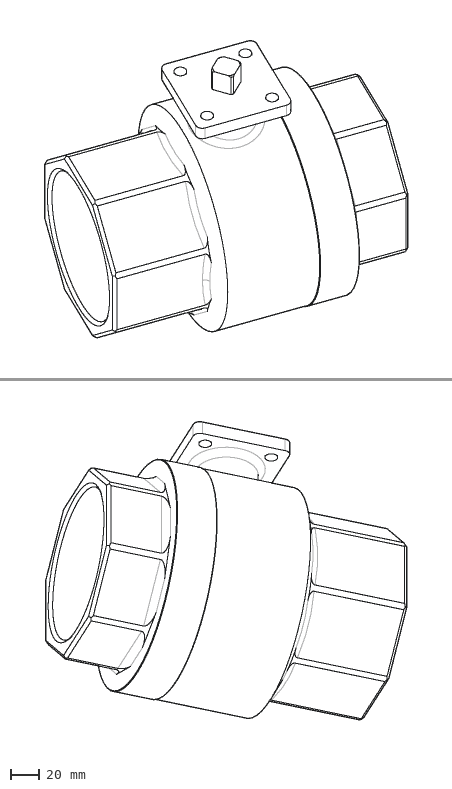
import cadquery as cq
import math

length = 225.0
body_dia = 166.0
body_front_y = -33.0
cone_end_dia = 126.0
cone_length = 9.7

flange_dia = 167.0
flange_front_y = 37.0
flange_rear_y = 67.3
flange_chamfer = (flange_dia - body_dia) / 2

octagon_sides = 8
octagon_width = 130.0
octagon_end_chamfer = 2.5
octagon_corner_trim = 2.5
octagon_root_fillet = 5.0

bore_dia = 100.0
socket_dia = 110.07
socket_depth = 40.0
socket_entry_dia = 115.0

neck_dia = 45.0
neck_top_fillet = 5.0
neck_root_fillet = 5.0
plate_size = 72.0
plate_corner_radius = 5.0
plate_thickness = 10.0
plate_top_z = 116.5
hole_dia = 9.0
hole_circle_dia = 70.0
stem_square = 17.0
stem_turn_deg = 45.0
stem_corner_dia = 22.0
stem_top_z = 134.0
stem_top_chamfer = 1.0

selection_margin = 1.0

end_y = length / 2
plate_bottom_z = plate_top_z - plate_thickness
half_sector_deg = 180.0 / octagon_sides
half_sector = math.radians(half_sector_deg)
octagon_corner_radius = octagon_width / 2 / math.cos(half_sector)
trimmed_apothem = octagon_corner_radius - octagon_corner_trim * math.sin(half_sector)


def disc(dia, start_y, stop_y):
    """Cylinder on the Y axis between two Y stations."""
    return cq.Workplane("XZ", origin=(0, start_y, 0)).circle(dia / 2).extrude(start_y - stop_y)


def octagon(apothem, turn_deg, start_y, stop_y):
    """Octagonal prism on the Y axis; zero turn puts flats at top, bottom and sides."""
    return (
        cq.Workplane("XZ", origin=(0, start_y, 0))
        .transformed(rotate=(0, 0, turn_deg + half_sector_deg))
        .polygon(octagon_sides, 2 * apothem / math.cos(half_sector))
        .extrude(start_y - stop_y)
    )


def make_shell():
    """Body cylinder with its front cone, and the flange ring."""
    body = disc(body_dia, body_front_y, flange_front_y)
    cone = (
        cq.Workplane("XY")
        .moveTo(0, body_front_y)
        .lineTo(body_dia / 2, body_front_y)
        .lineTo(cone_end_dia / 2, body_front_y - cone_length)
        .lineTo(0, body_front_y - cone_length)
        .close()
        .revolve(360, (0, 0, 0), (0, 1, 0))
    )
    flange = disc(flange_dia, flange_front_y, flange_rear_y).edges().chamfer(flange_chamfer)
    return body.union(cone).union(flange)


def add_octagons(shell):
    """Chamfered octagon through the shell, filleted at both roots, with trimmed corners."""
    bar = octagon(octagon_width / 2, 0, -end_y, end_y).faces("<Y or >Y").chamfer(octagon_end_chamfer)
    joined = shell.union(bar)
    reach = octagon_corner_radius + selection_margin
    root_edges = cq.selectors.BoxSelector(
        (-reach, body_front_y - cone_length, -reach),
        (reach, flange_rear_y + selection_margin, reach),
        boundingbox=True,
    )
    filleted = joined.edges(root_edges).fillet(octagon_root_fillet)
    trim = octagon(trimmed_apothem, half_sector_deg, -end_y, end_y).union(shell)
    return filleted.intersect(trim)


def add_neck(housing):
    """Round neck on top of the body with a fillet where it meets the body."""
    neck = cq.Workplane("XY").circle(neck_dia / 2).extrude(plate_bottom_z)
    joined = housing.union(neck)
    neck_radius = neck_dia / 2
    body_radius = body_dia / 2
    lowest_z = math.sqrt(body_radius**2 - neck_radius**2)
    reach = neck_radius + selection_margin
    root_edges = cq.selectors.BoxSelector(
        (-reach, -reach, lowest_z - selection_margin),
        (reach, reach, body_radius + selection_margin),
        boundingbox=True,
    )
    return joined.edges(root_edges).fillet(neck_root_fillet)


def make_plate():
    """Mounting plate with the flared top of the neck and four holes."""
    flare = (
        cq.Workplane("XZ")
        .moveTo(0, plate_bottom_z)
        .lineTo(neck_dia / 2 + neck_top_fillet, plate_bottom_z)
        .radiusArc((neck_dia / 2, plate_bottom_z - neck_top_fillet), -neck_top_fillet)
        .lineTo(0, plate_bottom_z - neck_top_fillet)
        .close()
        .revolve(360, (0, 0, 0), (0, 1, 0))
    )
    hole_pitch = hole_circle_dia / math.sqrt(2)
    plate = (
        cq.Workplane("XY", origin=(0, 0, plate_bottom_z))
        .rect(plate_size, plate_size)
        .extrude(plate_thickness)
        .edges("|Z")
        .fillet(plate_corner_radius)
        .union(flare)
    )
    holes = (
        cq.Workplane("XY", origin=(0, 0, plate_bottom_z - neck_top_fillet))
        .rect(hole_pitch, hole_pitch, forConstruction=True)
        .vertices()
        .circle(hole_dia / 2)
        .extrude(plate_thickness + neck_top_fillet)
    )
    return plate.cut(holes)


def make_stem():
    """Square drive set corner-on, its corners turned to a cylinder with a chamfered top."""
    height = stem_top_z - plate_bottom_z
    base = cq.Workplane("XY", origin=(0, 0, plate_bottom_z))
    square = base.transformed(rotate=(0, 0, stem_turn_deg)).rect(stem_square, stem_square).extrude(height)
    envelope = base.circle(stem_corner_dia / 2).extrude(height).faces(">Z").chamfer(stem_top_chamfer)
    return square.intersect(envelope)


def make_flow_path():
    """Through bore with a socket and a 45 degree entry at each end."""
    entry = (socket_entry_dia - socket_dia) / 2
    front_half = (
        cq.Workplane("XY")
        .lineTo(bore_dia / 2, 0)
        .lineTo(bore_dia / 2, socket_depth - end_y)
        .lineTo(socket_dia / 2, socket_depth - end_y)
        .lineTo(socket_dia / 2, entry - end_y)
        .lineTo(socket_entry_dia / 2, -end_y)
        .lineTo(0, -end_y)
        .close()
        .revolve(360, (0, 0, 0), (0, 1, 0))
    )
    return front_half.union(front_half.mirror("XZ"))


housing = add_neck(add_octagons(make_shell()))
result = housing.union(make_plate()).union(make_stem()).cut(make_flow_path())